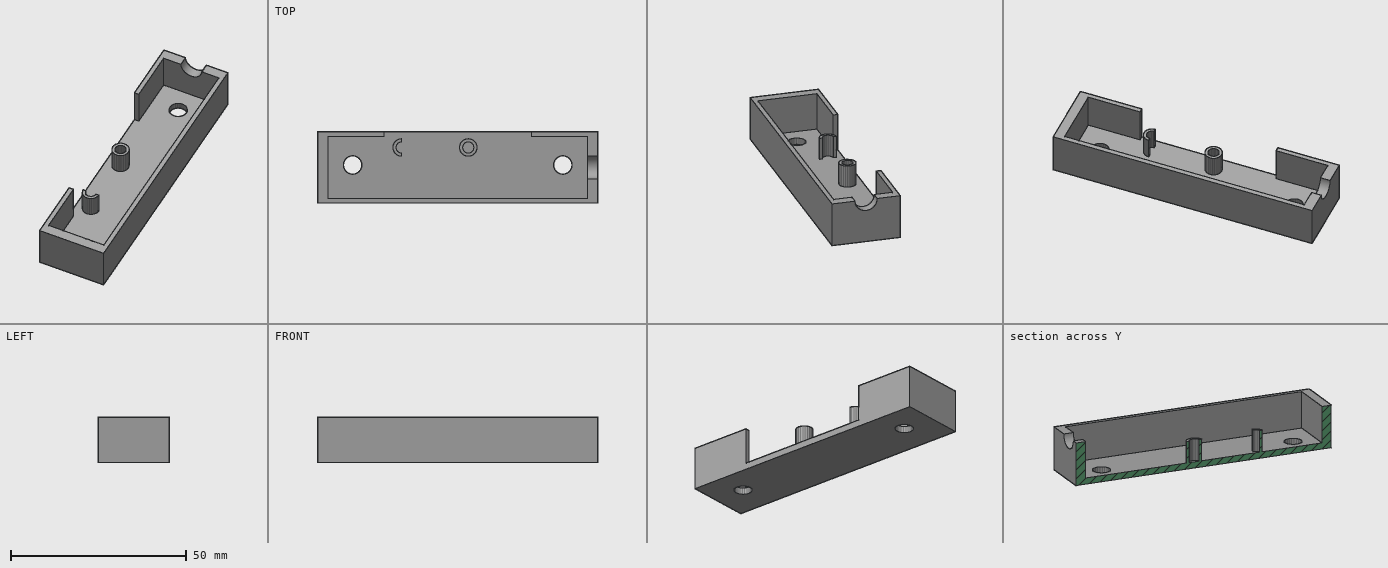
import cadquery as cq

length = 80.0
width = 20.4
height = 13.0
end_wall = 3.0
side_wall = 1.4
floor = 2.0

opening_start = 19.0
opening_length = 42.0

round_facets = 24

hole_diameter = 5.2
hole_inset = 10.0
hole_y = 10.9

post_diameter = 5.0
post_bore = 3.2
post_height = 6.5
post_y = 15.9
full_post_x = 43.0
half_post_x = 24.0

notch_radius = 3.3
notch_y = width / 2
notch_z = height


def corner_box(size_x, size_y, size_z, x, y, z):
    """Box whose lowest corner sits at (x, y, z)."""
    return cq.Workplane("XY").box(size_x, size_y, size_z, centered=False).translate((x, y, z))


def make_tray():
    cavity_length = length - 2 * end_wall
    cavity_width = width - 2 * side_wall
    wall_height = height - floor
    body = corner_box(length, width, height, 0, 0, 0)
    cavity = corner_box(cavity_length, cavity_width, wall_height, end_wall, side_wall, floor)
    opening = corner_box(
        opening_length, side_wall, wall_height, opening_start, width - side_wall, floor
    )
    return body.cut(cavity).cut(opening)


def make_mounting_holes():
    centres = [(hole_inset, hole_y), (length - hole_inset, hole_y)]
    return cq.Workplane("XY").pushPoints(centres).polygon(round_facets, hole_diameter).extrude(floor)


def make_cable_notch():
    return (
        cq.Workplane("YZ", origin=(length - end_wall, notch_y, notch_z))
        .circle(notch_radius)
        .extrude(end_wall)
    )


def make_post(x):
    """Faceted tube standing on the floor, bored down to the floor surface."""
    return (
        cq.Workplane("XY", origin=(x, post_y, floor))
        .polygon(round_facets, post_diameter)
        .polygon(round_facets, post_bore)
        .extrude(post_height)
    )


def make_half_post(x):
    """Post with its +X half removed, leaving a C-shaped shell."""
    removed_half = corner_box(
        post_diameter, post_diameter, post_height, x, post_y - post_diameter / 2, floor
    )
    return make_post(x).cut(removed_half)


result = (
    make_tray()
    .union(make_post(full_post_x))
    .union(make_half_post(half_post_x))
    .cut(make_mounting_holes())
    .cut(make_cable_notch())
)